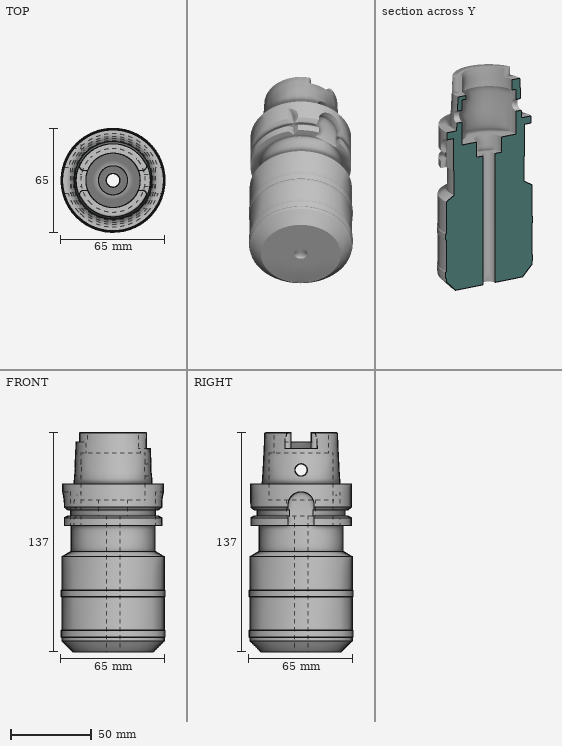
import cadquery as cq
import math


shank_length = 32.0
gauge_diameter = 48.1
gauge_height = 6.3
taper_per_length = 0.1
rim_fillet = 1.0
shank_base_radius = (gauge_diameter + taper_per_length * gauge_height) / 2
shank_tip_radius = shank_base_radius - taper_per_length * shank_length / 2

drive_slot_width = 12.54
drive_slot_corner_radius = 2.6
drive_slot_tangent_depth = 4.0
shallow_slot_depth = 5.8
deep_slot_depth = 10.0

cross_hole_diameter = 7.5
cross_hole_height = 8.7

bore_diameter = 34.0
recess_diameter = 40.0
shoulder_height = 19.2
bore_floor_height = -10.0
tube_seat_diameter = 18.2
tube_seat_depth = 10.0
through_hole_diameter = 8.4

flange_diameter = 63.0
flange_thickness = 26.0
groove_diameter = 55.0
groove_cone_diameter = 58.4
groove_mouth_top_depth = 14.5
groove_floor_top_depth = 16.3
groove_floor_bottom_depth = 20.0
groove_mouth_bottom_depth = 21.2

keyway_width = 16.3
keyway_floor_offset = 26.5
arch_top_depth = 5.0

notch_offset = 20.0
notch_radius = 6.7

neck_diameter = 52.6
neck_end_depth = 42.2
body_diameter = 64.0
shoulder_end_depth = 45.5
total_depth = 105.0
lower_chamfer = 7.0
band_diameter = 65.0
band_width = 4.4
band_chamfer = 0.25
band_bottoms = [9.2, 34.3]


def disk(diameter, bottom, top):
    """Upright cylinder between two heights."""
    return cq.Workplane("XY").workplane(offset=bottom).circle(diameter / 2).extrude(top - bottom)


def make_shank():
    """Tapered shank with a rounded rim."""
    profile = [(0, 0), (shank_base_radius, 0), (shank_tip_radius, shank_length), (0, shank_length)]
    shank = cq.Workplane("XZ").polyline(profile).close().revolve(360, (0, 0), (0, 1))
    return shank.faces(">Z").edges().fillet(rim_fillet)


def make_body():
    """Flange, gripper groove, neck and chuck body, turned in one profile."""
    flange_radius = flange_diameter / 2
    groove_radius = groove_diameter / 2
    cone_radius = groove_cone_diameter / 2
    neck_radius = neck_diameter / 2
    body_radius = body_diameter / 2
    profile = [
        (0, 0),
        (flange_radius, 0),
        (flange_radius, -groove_mouth_top_depth),
        (cone_radius, -groove_floor_top_depth),
        (groove_radius, -groove_floor_top_depth),
        (groove_radius, -groove_floor_bottom_depth),
        (cone_radius, -groove_floor_bottom_depth),
        (flange_radius, -groove_mouth_bottom_depth),
        (flange_radius, -flange_thickness),
        (neck_radius, -flange_thickness),
        (neck_radius, -neck_end_depth),
        (body_radius, -shoulder_end_depth),
        (body_radius, -total_depth + lower_chamfer),
        (body_radius - lower_chamfer, -total_depth),
        (0, -total_depth),
    ]
    return cq.Workplane("XZ").polyline(profile).close().revolve(360, (0, 0), (0, 1))


def make_band(bottom):
    """Raised band around the chuck body with chamfered edges."""
    low = bottom - total_depth
    return disk(band_diameter, low, low + band_width).edges().chamfer(band_chamfer)


def make_bore():
    """Clamping bore, undercut recess, coolant tube seat and through hole."""
    bore_radius = bore_diameter / 2
    recess_radius = recess_diameter / 2
    seat_floor_height = bore_floor_height - tube_seat_depth
    profile = [
        (0, shank_length),
        (bore_radius, shank_length),
        (bore_radius, shoulder_height),
        (recess_radius, shoulder_height),
        (recess_radius, bore_floor_height),
        (tube_seat_diameter / 2, bore_floor_height),
        (tube_seat_diameter / 2, seat_floor_height),
        (through_hole_diameter / 2, seat_floor_height),
        (through_hole_diameter / 2, -total_depth),
        (0, -total_depth),
    ]
    return cq.Workplane("XZ").polyline(profile).close().revolve(360, (0, 0), (0, 1))


def make_drive_slot(side, depth):
    """Slot through the shank wall with rounded mouth corners; side is -1 or +1.

    Each corner arc runs from the slot wall to where it meets the shank tangentially. Past
    that point the cutter edge leads straight out from the axis.
    """
    half_width = drive_slot_width / 2
    corner = drive_slot_corner_radius
    tangent_radius = shank_tip_radius + taper_per_length * drive_slot_tangent_depth / 2
    center_y = half_width + corner
    center_x = math.sqrt((tangent_radius - corner) ** 2 - center_y**2)
    end_angle = math.atan2(center_y, center_x)
    mid_angle = (end_angle - math.pi / 2) / 2
    outer_radius = shank_base_radius + corner

    mid = (center_x + corner * math.cos(mid_angle), center_y + corner * math.sin(mid_angle))
    end = (tangent_radius * math.cos(end_angle), tangent_radius * math.sin(end_angle))
    outer = (outer_radius * math.cos(end_angle), outer_radius * math.sin(end_angle))

    half_slot = (
        cq.Workplane("XY")
        .workplane(offset=shank_length - depth)
        .lineTo(0, half_width)
        .lineTo(center_x, half_width)
        .threePointArc(mid, end)
        .lineTo(*outer)
        .lineTo(outer[0], 0)
        .close()
        .extrude(depth)
    )
    slot = half_slot.union(half_slot.mirror("XZ"))
    return slot if side > 0 else slot.mirror("YZ")


def make_arched_slot(center_y, radius, floor_x, outer_x):
    """Slot with a round upper end and an open lower end, running along X from floor_x to outer_x."""
    arch_z = -arch_top_depth - radius
    return (
        cq.Workplane("YZ")
        .workplane(offset=floor_x)
        .moveTo(center_y - radius, -flange_thickness)
        .lineTo(center_y - radius, arch_z)
        .threePointArc((center_y, -arch_top_depth), (center_y + radius, arch_z))
        .lineTo(center_y + radius, -flange_thickness)
        .close()
        .extrude(outer_x - floor_x)
    )


def make_cross_hole():
    """Hole along X through both walls of the shank."""
    return (
        cq.Workplane("YZ")
        .center(0, cross_hole_height)
        .circle(cross_hole_diameter / 2)
        .extrude(shank_base_radius, both=True)
    )


result = make_shank().union(make_body())
for band_bottom in band_bottoms:
    result = result.union(make_band(band_bottom))
result = result.cut(make_bore())
result = result.cut(make_drive_slot(-1, shallow_slot_depth))
result = result.cut(make_drive_slot(1, deep_slot_depth))
result = result.cut(make_cross_hole())
for side in (-1, 1):
    keyway = make_arched_slot(0, keyway_width / 2, side * keyway_floor_offset, side * flange_diameter / 2)
    result = result.cut(keyway)
notch = make_arched_slot(notch_offset + notch_radius, notch_radius, -notch_offset, -flange_diameter / 2)
result = result.cut(notch)